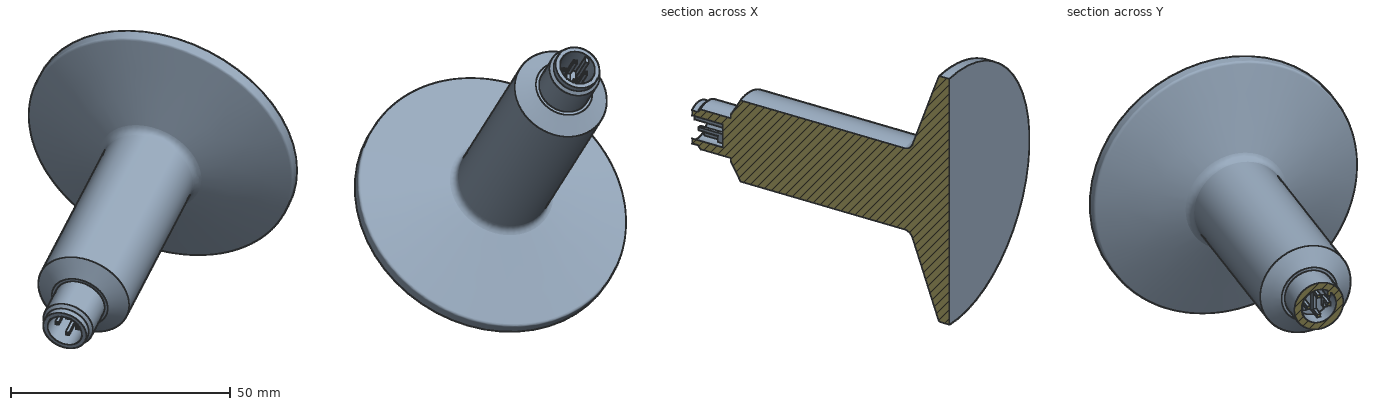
import cadquery as cq
import math

LENGTH = 68.9
TIP_Y = -LENGTH / 2
BACK_Y = LENGTH / 2

FLANGE_RADIUS = 64.0 / 2
RIM_FILLET = 0.7
RIM_END = 2.8
CONE_ANGLE = math.radians(20.0)
NECK_FILLET = 2.1

BARREL_RADIUS = 22.0 / 2
TAPER_START = 55.9
TAPER_END_RADIUS = 6.75

COLLAR_RADIUS = 12.0 / 2
COLLAR_START = 58.5
LIP_RADIUS = 10.5 / 2
LIP_LENGTH = 1.6
COLLAR_CHAMFER = COLLAR_RADIUS - LIP_RADIUS

SOCKET_RADIUS = 8.3 / 2
SOCKET_DEPTH = 8.3
PIN_WIDTH = 0.8
PIN_OFFSET = 2.5
PIN_RECESS = 1.5
PIN_LENGTH = SOCKET_DEPTH - PIN_RECESS
PIN_CHAMFER = 0.3
RIB_LENGTH = 1.4
SIDE_RIB_BOTTOM = -2.0
KEY_BOTTOM = 2.1
KEY_LENGTH = 7.6


def along(distance):
    """Y position at a distance from the back of the flange."""
    return BACK_Y - distance


def turned_body():
    """Flange, barrel and connector as one solid of revolution about Y."""
    neck_distance = RIM_END + (FLANGE_RADIUS - BARREL_RADIUS) * math.tan(CONE_ANGLE)
    lip_start = LENGTH - LIP_LENGTH
    outline = [
        (0, along(0)),
        (FLANGE_RADIUS, along(0)),
        (FLANGE_RADIUS, along(RIM_END)),
        (BARREL_RADIUS, along(neck_distance)),
        (BARREL_RADIUS, along(TAPER_START)),
        (TAPER_END_RADIUS, along(COLLAR_START)),
        (COLLAR_RADIUS, along(COLLAR_START)),
        (COLLAR_RADIUS, along(lip_start - COLLAR_CHAMFER)),
        (LIP_RADIUS, along(lip_start)),
        (LIP_RADIUS, TIP_Y),
        (0, TIP_Y),
    ]
    body = cq.Workplane("XY").polyline(outline).close().revolve(360, (0, 0, 0), (0, 1, 0))
    body = round_circle(body, along(RIM_END), RIM_FILLET)
    return round_circle(body, along(neck_distance), NECK_FILLET)


def round_circle(body, y, radius):
    """Fillet the circular edge lying at the given Y."""
    reach = 2 * FLANGE_RADIUS
    margin = 0.1
    edge = cq.selectors.BoxSelector((-reach, y - margin, -reach), (reach, y + margin, reach))
    return body.edges(edge).fillet(radius)


def socket():
    """Blind round bore in the connector tip."""
    return cq.Workplane("XZ", origin=(0, TIP_Y, 0)).circle(SOCKET_RADIUS).extrude(-SOCKET_DEPTH)


def post(x, bottom, top, length):
    """Rectangular post as wide as a pin, rising from the socket floor toward the tip."""
    floor_y = TIP_Y + SOCKET_DEPTH
    base = cq.Workplane("XZ", origin=(x, floor_y, (bottom + top) / 2))
    return base.rect(PIN_WIDTH, top - bottom).extrude(length)


def pin(x, z):
    """Square pin with a chamfered tip, ending inside the socket mouth."""
    blank = post(x, z - PIN_WIDTH / 2, z + PIN_WIDTH / 2, PIN_LENGTH)
    return blank.faces("<Y").chamfer(PIN_CHAMFER)


def key():
    """Key against the socket wall, trimmed to the bore."""
    return post(PIN_OFFSET, KEY_BOTTOM, SOCKET_RADIUS, KEY_LENGTH).intersect(socket())


result = turned_body().cut(socket())

rib_reach = PIN_OFFSET + PIN_WIDTH / 2
result = result.union(post(0, -rib_reach, rib_reach, RIB_LENGTH))
for side in (-1, 1):
    result = result.union(pin(0, side * PIN_OFFSET))

for side in (-1, 1):
    x = side * PIN_OFFSET
    result = result.union(post(x, SIDE_RIB_BOTTOM, PIN_WIDTH / 2, RIB_LENGTH))
    result = result.union(pin(x, 0))

result = result.union(key())